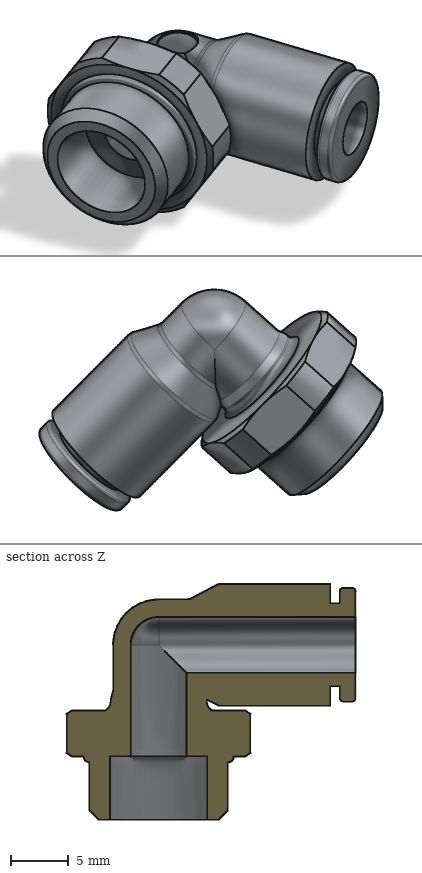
import cadquery as cq
import math


OVERALL_LENGTH = 25.05

ELBOW_RADIUS = 3.95
PASSAGE_RADIUS = 2.4
BADGE_RADIUS = 1.78
BADGE_FLOOR_Z = 3.35

TAPER_START = 3.93
TAPER_END = 4.75
FLARE_START = 4.9
TAPER_END_RADIUS = 4.18
FLARE_END_RADIUS = 4.65

NUT_TOP = 5.65
NUT_THICKNESS = 4.0
NUT_BOTTOM = NUT_TOP + NUT_THICKNESS
ACROSS_FLATS = 15.0
NUT_CORNER_RADIUS = 8.0
NUT_CHAMFER_HEIGHT = 0.3

SHOULDER_ROUNDING = 0.5
SPIGOT_RADIUS = 6.0
SPIGOT_CHAMFER = 0.83
SPIGOT_END = 15.15
SPIGOT_BORE_RADIUS = 4.2
SPIGOT_BORE_DEPTH = 5.5

CONE_START = 2.68
CONE_END = 5.19
PORT_RADIUS = 5.29
PORT_END = 14.88
COLLAR_NECK_RADIUS = 3.6
COLLAR_START = 15.68
COLLAR_END = OVERALL_LENGTH - NUT_CORNER_RADIUS
COLLAR_RADIUS = 4.93
COLLAR_ROUNDING = 0.3
CONE_BLEND = 0.75


def stem_rod(radius, start, end):
    """Cylinder on the stem axis between two distances below the elbow centre."""
    return cq.Workplane("XZ", origin=(0, -start, 0)).circle(radius).extrude(end - start)


def port_rod(radius, start, end):
    """Cylinder on the port axis between two distances from the elbow centre."""
    return cq.Workplane("YZ", origin=(start, 0, 0)).circle(radius).extrude(end - start)


def stem_neck():
    """Straight neck, slight taper, short land and a curved flare onto the nut."""
    profile = (
        cq.Workplane("XY")
        .lineTo(ELBOW_RADIUS, 0)
        .lineTo(ELBOW_RADIUS, -TAPER_START)
        .lineTo(TAPER_END_RADIUS, -TAPER_END)
        .lineTo(TAPER_END_RADIUS, -FLARE_START)
        .tangentArcPoint((FLARE_END_RADIUS, -NUT_TOP), relative=False)
        .lineTo(0, -NUT_TOP)
        .close()
    )
    return profile.revolve(360, (0, 0, 0), (0, 1, 0))


def nut():
    """Hexagon with flats facing +Z and -Z, corners turned round and chamfered."""
    flat_radius = ACROSS_FLATS / 2
    hexagon = (
        cq.Workplane("XZ", origin=(0, -NUT_TOP, 0))
        .polygon(6, ACROSS_FLATS / math.cos(math.pi / 6))
        .extrude(NUT_THICKNESS)
    )
    turned_blank = stem_rod(NUT_CORNER_RADIUS, NUT_TOP, NUT_BOTTOM)
    turned_blank = turned_blank.faces("<Y or >Y").chamfer(
        NUT_CHAMFER_HEIGHT, NUT_CORNER_RADIUS - flat_radius
    )
    return hexagon.intersect(turned_blank)


def spigot():
    """Quarter-round shoulder below the nut, then the spigot with its chamfered end."""
    shoulder_top_radius = SPIGOT_RADIUS + SHOULDER_ROUNDING
    shoulder_bottom = NUT_BOTTOM + SHOULDER_ROUNDING
    profile = (
        cq.Workplane("XY", origin=(0, -NUT_BOTTOM, 0))
        .lineTo(shoulder_top_radius, 0)
        .radiusArc((SPIGOT_RADIUS, -SHOULDER_ROUNDING), SHOULDER_ROUNDING)
        .lineTo(0, -SHOULDER_ROUNDING)
        .close()
    )
    shoulder = profile.revolve(360, (0, 0, 0), (0, 1, 0))
    thread = stem_rod(SPIGOT_RADIUS, shoulder_bottom, SPIGOT_END)
    return shoulder.union(thread.faces("<Y").chamfer(SPIGOT_CHAMFER))


def port():
    """Port body with a blended cone, a narrow neck and a rounded release collar."""
    body = (
        cq.Workplane("XY")
        .lineTo(0, ELBOW_RADIUS)
        .lineTo(CONE_START, ELBOW_RADIUS)
        .lineTo(CONE_END, PORT_RADIUS)
        .lineTo(PORT_END, PORT_RADIUS)
        .lineTo(PORT_END, 0)
        .close()
        .revolve(360, (0, 0, 0), (1, 0, 0))
    )
    cone_end_edges = body.faces("%CONE").edges("%CIRCLE")
    body = cone_end_edges.fillet(CONE_BLEND)
    neck = port_rod(COLLAR_NECK_RADIUS, PORT_END, COLLAR_START)
    collar = port_rod(COLLAR_RADIUS, COLLAR_START, COLLAR_END).edges().fillet(COLLAR_ROUNDING)
    return body.union(neck).union(collar)


def flow_passage():
    """Bent passage from the spigot to the collar, widened inside the spigot."""
    corner = cq.Workplane("XY").sphere(PASSAGE_RADIUS)
    stem_leg = stem_rod(PASSAGE_RADIUS, 0, SPIGOT_END)
    port_leg = port_rod(PASSAGE_RADIUS, 0, COLLAR_END)
    spigot_bore = stem_rod(SPIGOT_BORE_RADIUS, SPIGOT_END - SPIGOT_BORE_DEPTH, SPIGOT_END)
    return corner.union(stem_leg).union(port_leg).union(spigot_bore)


def badge_recess():
    """Round flat-bottomed recess on top of the elbow ball."""
    return (
        cq.Workplane("XY", origin=(0, 0, BADGE_FLOOR_Z))
        .circle(BADGE_RADIUS)
        .extrude(ELBOW_RADIUS)
    )


elbow_ball = cq.Workplane("XY").sphere(ELBOW_RADIUS)
body = elbow_ball.union(stem_neck()).union(port()).union(nut()).union(spigot())
result = body.cut(flow_passage()).cut(badge_recess())